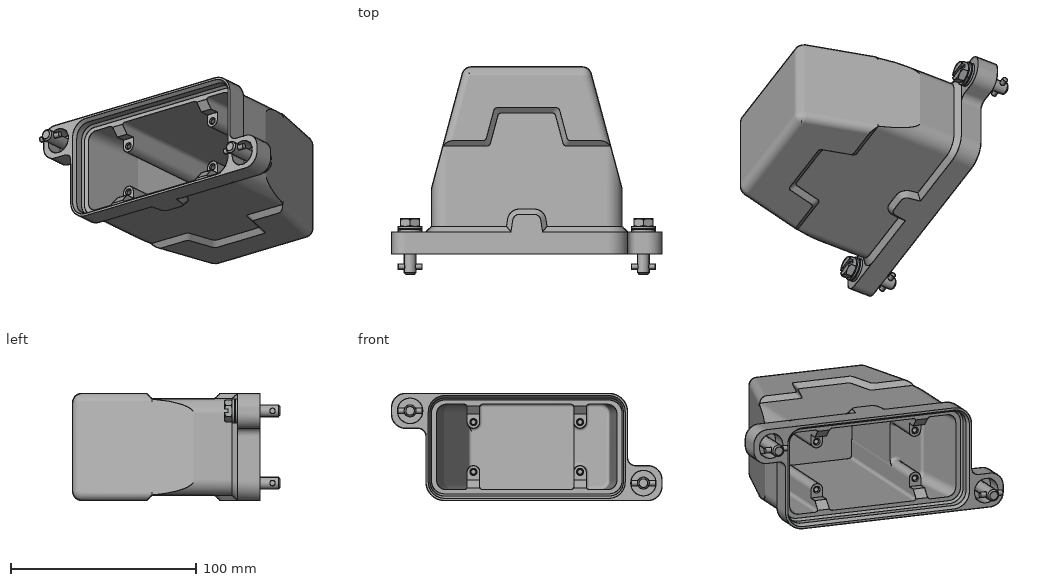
import cadquery as cq
import math

LENGTH = 146.0
DEPTH = 58.0
HALF_DEPTH = DEPTH / 2
FLANGE_HEIGHT = 12.1
TOP_Y = 101.2

FLANGE_HALF_X = 54.5
FLANGE_CORNER_R = 10.2
EAR_WIDTH = 19.0
EAR_CORNER_R = 7.7
EAR_ROOT_R = 4.1

STEP = 2.85
BODY_HALF_X = 51.4
BODY_HALF_Z = HALF_DEPTH - STEP
BODY_CORNER_R = 8.3
SKIRT_HEIGHT = 2.9
SLANT_ANGLE = math.radians(15)
SLANT = math.tan(SLANT_ANGLE)
SLANT_START_Y = 35.6
CAP_TOP_EDGE_R = 5.3
CAP_SIDE_EDGE_R = 4.4
CAP_FLOOR_Y = 58.4
NOTCH_FLOOR_Y = 76.2
NOTCH_HALF_X = 15.2
NOTCH_CORNER_R = 2.9

TAB_HALF_X = 11.4
TAB_SHOULDER_HALF_X = 9.5
TAB_END_Y = 24.4
TAB_CORNER_R = 6.4

MOUTH_HALF_X = 53.1
MOUTH_HALF_Z = 27.7
MOUTH_CORNER_R = 8.9
THROAT_HALF_X = 52.1
THROAT_HALF_Z = 26.4
THROAT_CORNER_R = 7.6
THROAT_START_Y = 2.3
THROAT_END_Y = 6.5
LEDGE_HALF_X = 51.4
LEDGE_HALF_Z = 25.3
LEDGE_CORNER_R = 6.9
LEDGE_Y = 8.2

CAVITY_HALF_X = 48.6
CAVITY_HALF_Z = 23.0
CAVITY_EDGE_R = 5.1
CAVITY_KNEE_X = 44.5
CAVITY_KNEE_Y = 46.7
CAVITY_FLOOR_Y = 97.8
FLOOR_EDGE_R = 1.8
FILL_X = 25.5
FILL_Y = 44.5

BOSS_X = 28.8
BOSS_Z = 13.5
BOSS_R = 3.4
BOSS_ROOT_R = 1.8
BOSS_FACE_Y = 17.7
BOSS_SHOULDER_Z = 17.74
BOSS_SHOULDER_Y = 12.3
BOSS_FOOT_Z = 22.2
BOSS_HOLE_R = 1.3
BOSS_HOLE_DEPTH = 11.7
BOSS_COUNTERSINK = 0.6

SCREW_X = 62.9
SCREW_Z = HALF_DEPTH - EAR_WIDTH / 2
SHANK_R = 3.2
SHANK_TIP_Y = -10.8
TIP_CHAMFER = 0.9
CROSS_PIN_R = 1.5
CROSS_PIN_HALF_LENGTH = 6.4
CROSS_PIN_Y = -6.7
BORE_R = 6.9
BORE_DEPTH = 10.2
WASHER_R = 6.5
WASHER_THICKNESS = 1.2
WASHER_GAP = 0.6
WASHER_NECK_R = 5.1
HEX_FLATS = 10.4
HEX_HEIGHT = 4.2
HEX_TOP_CHAMFER = 0.9
HEX_BOTTOM_CHAMFER = 0.5
SLOT_WIDTH = 2.0
SLOT_DEPTH = 1.9


def rounded_rect(y, half_x, half_z, corner_r):
    """Closed wire of a rounded rectangle in the plane at height y."""
    sketch = cq.Sketch().rect(2 * half_x, 2 * half_z).vertices().fillet(corner_r)
    plane = cq.Plane(origin=(0, y, 0), xDir=(1, 0, 0), normal=(0, -1, 0))
    return cq.Workplane(plane).placeSketch(sketch)._getFaces()[0].outerWire()


def tapered_block(lower, upper):
    """Solid between two rounded rectangles, each given as (y, half_x, half_z, corner_r)."""
    return cq.Workplane(cq.Solid.makeLoft([rounded_rect(*lower), rounded_rect(*upper)], True))


def slant_x(y):
    """Half width of the hood between its slanted sides."""
    return BODY_HALF_X - (y - SLANT_START_Y) * SLANT


def make_flange():
    ear_x = LENGTH / 2
    ear_z = HALF_DEPTH - EAR_WIDTH
    half = [(-FLANGE_HALF_X, -HALF_DEPTH), (ear_x, -HALF_DEPTH), (ear_x, -ear_z), (FLANGE_HALF_X, -ear_z)]
    outline = half + [(-x, -z) for x, z in half]
    flange = cq.Workplane("XZ").polyline(outline).close().extrude(-FLANGE_HEIGHT)

    def round_corner(solid, corner, radius):
        for sign in (1, -1):
            at = (sign * corner[0], FLANGE_HEIGHT / 2, sign * corner[1])
            solid = solid.edges(cq.NearestToPointSelector(at)).fillet(radius)
        return solid

    for corner, radius in zip(half, (FLANGE_CORNER_R, EAR_CORNER_R, EAR_CORNER_R, EAR_ROOT_R)):
        flange = round_corner(flange, corner, radius)
    return flange


def make_lower_hood():
    section = (BODY_HALF_X, BODY_HALF_Z, BODY_CORNER_R)
    skirt_top = FLANGE_HEIGHT + SKIRT_HEIGHT
    skirt = tapered_block(
        (FLANGE_HEIGHT, FLANGE_HALF_X, HALF_DEPTH, FLANGE_CORNER_R), (skirt_top, *section)
    )
    block = tapered_block((skirt_top, *section), (CAP_FLOOR_Y, *section))
    sides = (
        cq.Workplane("XY")
        .polyline([
            (-BODY_HALF_X, 0), (BODY_HALF_X, 0), (BODY_HALF_X, SLANT_START_Y), (slant_x(TOP_Y), TOP_Y),
            (-slant_x(TOP_Y), TOP_Y), (-BODY_HALF_X, SLANT_START_Y),
        ])
        .close().extrude(HALF_DEPTH, both=True)
    )
    return skirt.union(block.intersect(sides))


def step_outline(z, spread):
    """Outline of the stepped recess at height z, grown outward by the spread."""
    foot_y = CAP_FLOOR_Y + spread
    notch_y = NOTCH_FLOOR_Y + spread
    notch_x = NOTCH_HALF_X + spread / math.cos(SLANT_ANGLE) - spread * SLANT
    foot_x = notch_x + (notch_y - foot_y) * SLANT
    side_x = BODY_HALF_X + spread
    right_half = [(side_x, 0), (side_x, foot_y), (foot_x, foot_y), (notch_x, notch_y)]
    left_half = [(-x, y) for x, y in reversed(right_half)]
    return cq.Wire.makePolygon([cq.Vector(x, y, z) for x, y in right_half + left_half], close=True)


def make_step_cutter():
    """Cutter for the stepped recess in the front of the cap, with walls that slope at 45 degrees."""
    spread = 2 * STEP
    floor = step_outline(BODY_HALF_Z, 0)
    rim = step_outline(BODY_HALF_Z + spread, spread)
    cutter = cq.Workplane(cq.Solid.makeLoft([floor, rim], True))
    notch_corners = cq.selectors.BoxSelector((-BODY_HALF_X / 2, CAP_FLOOR_Y, 0), (BODY_HALF_X / 2, TOP_Y, DEPTH))
    return cutter.edges("not #Z").edges(notch_corners).fillet(NOTCH_CORNER_R)


def make_cap():
    outline = [
        (-slant_x(CAP_FLOOR_Y), CAP_FLOOR_Y), (slant_x(CAP_FLOOR_Y), CAP_FLOOR_Y),
        (slant_x(TOP_Y), TOP_Y), (-slant_x(TOP_Y), TOP_Y),
    ]
    cap = cq.Workplane("XY").polyline(outline).close().extrude(HALF_DEPTH, both=True)
    cap = cap.faces(">Y").edges().fillet(CAP_TOP_EDGE_R)
    below_top = cq.selectors.BoxSelector((-LENGTH, CAP_FLOOR_Y + 1.5, -DEPTH), (LENGTH, TOP_Y - CAP_TOP_EDGE_R, DEPTH))
    cap = cap.edges(below_top).edges("not(|X or |Z)").fillet(CAP_SIDE_EDGE_R)
    cutter = make_step_cutter()
    return cap.cut(cutter).cut(cutter.mirror("XY"))


def make_tabs():
    """Raised tabs with sloped edges at the foot of the hood, front and back."""
    outline = [
        (-TAB_HALF_X, 0), (TAB_HALF_X, 0), (TAB_HALF_X, FLANGE_HEIGHT),
        (TAB_SHOULDER_HALF_X, TAB_END_Y), (-TAB_SHOULDER_HALF_X, TAB_END_Y), (-TAB_HALF_X, FLANGE_HEIGHT),
    ]
    sketch = cq.Sketch().polygon(outline + outline[:1]).vertices(">Y").fillet(TAB_CORNER_R)
    tab = cq.Workplane("XY", origin=(0, 0, BODY_HALF_Z)).placeSketch(sketch).extrude(STEP, taper=45)
    above_flange = cq.Workplane("XY").box(LENGTH, TOP_Y, DEPTH).translate((0, FLANGE_HEIGHT + TOP_Y / 2, 0))
    tab = tab.intersect(above_flange)
    return tab.union(tab.mirror("XY"))


def make_mouth():
    mouth = (MOUTH_HALF_X, MOUTH_HALF_Z, MOUTH_CORNER_R)
    throat = (THROAT_HALF_X, THROAT_HALF_Z, THROAT_CORNER_R)
    ledge = (LEDGE_HALF_X, LEDGE_HALF_Z, LEDGE_CORNER_R)
    entry = tapered_block((0, *mouth), (THROAT_START_Y, *throat))
    straight = tapered_block((THROAT_START_Y, *throat), (THROAT_END_Y, *throat))
    seat = tapered_block((THROAT_END_Y, *throat), (LEDGE_Y, *ledge))
    return entry.union(straight).union(seat)


def make_cavity():
    """Space behind the ledge, with drafted then slanted sides and a shallow part at +X."""
    floor_x = CAVITY_KNEE_X - (CAVITY_FLOOR_Y - CAVITY_KNEE_Y) * SLANT
    fill_x = CAVITY_HALF_X - (CAVITY_HALF_X - CAVITY_KNEE_X) * (FILL_Y - LEDGE_Y) / (CAVITY_KNEE_Y - LEDGE_Y)
    outline = [
        (-CAVITY_HALF_X, LEDGE_Y), (CAVITY_HALF_X, LEDGE_Y), (fill_x, FILL_Y), (FILL_X, FILL_Y),
        (FILL_X, CAVITY_FLOOR_Y), (-floor_x, CAVITY_FLOOR_Y), (-CAVITY_KNEE_X, CAVITY_KNEE_Y),
    ]
    cavity = cq.Workplane("XY").polyline(outline).close().extrude(CAVITY_HALF_Z, both=True)
    side_walls = cq.selectors.BoxSelector(
        (-LENGTH, LEDGE_Y, -DEPTH), (-floor_x, CAVITY_FLOOR_Y - 1.5, DEPTH)
    ) + cq.selectors.BoxSelector((fill_x, LEDGE_Y, -DEPTH), (LENGTH, FILL_Y - 1.5, DEPTH))
    cavity = cavity.edges("not(|X or |Z)").edges(side_walls).fillet(CAVITY_EDGE_R)
    return cavity


def make_boss():
    """Screw boss on the back wall at +X, with a flared root and a stepped, sloping front end."""
    root_z = CAVITY_HALF_Z - BOSS_ROOT_R
    flare_x = BOSS_R + BOSS_ROOT_R
    bend = BOSS_ROOT_R * (1 - math.sqrt(0.5))
    behind_wall_z = CAVITY_HALF_Z + 0.7
    length = CAVITY_FLOOR_Y - LEDGE_Y
    boss = (
        cq.Workplane("XZ", origin=(BOSS_X, LEDGE_Y, 0))
        .moveTo(-BOSS_R, BOSS_Z)
        .threePointArc((0, BOSS_Z - BOSS_R), (BOSS_R, BOSS_Z))
        .lineTo(BOSS_R, root_z)
        .threePointArc((BOSS_R + bend, CAVITY_HALF_Z - bend), (flare_x, CAVITY_HALF_Z))
        .lineTo(flare_x, behind_wall_z)
        .lineTo(-flare_x, behind_wall_z)
        .lineTo(-flare_x, CAVITY_HALF_Z)
        .threePointArc((-BOSS_R - bend, CAVITY_HALF_Z - bend), (-BOSS_R, root_z))
        .close()
        .extrude(-length)
    )
    front_gap = (
        cq.Workplane("YZ")
        .polyline([
            (LEDGE_Y, 0), (BOSS_FACE_Y, 0), (BOSS_FACE_Y, BOSS_SHOULDER_Z),
            (BOSS_SHOULDER_Y, BOSS_SHOULDER_Z), (LEDGE_Y, BOSS_FOOT_Z),
        ])
        .close().extrude(LENGTH / 2)
    )
    return boss.cut(front_gap)


def make_boss_hole():
    mouth_r = BOSS_HOLE_R + BOSS_COUNTERSINK
    hole = (
        cq.Workplane("XY")
        .polyline([
            (0, 0), (mouth_r, 0), (BOSS_HOLE_R, BOSS_COUNTERSINK),
            (BOSS_HOLE_R, BOSS_HOLE_DEPTH), (0, BOSS_HOLE_DEPTH),
        ])
        .close().revolve(360, (0, 0), (0, 1))
    )
    return hole.translate((BOSS_X, BOSS_FACE_Y, BOSS_Z))


def four_corners(tool):
    """The tool with its mirror images across the YZ and XY planes."""
    pair = tool.union(tool.mirror("YZ"))
    return pair.union(pair.mirror("XY"))


def make_ear_bore():
    """Through hole for a screw shank, opened up from the mating face."""
    clearance = cq.Workplane("XZ").circle(SHANK_R).extrude(-FLANGE_HEIGHT)
    return clearance.union(cq.Workplane("XZ").circle(BORE_R).extrude(-BORE_DEPTH))


def at_ears(body):
    """Copies of the body on the two ear axes."""
    return [body.translate((sign * SCREW_X, 0, -sign * SCREW_Z)) for sign in (-1, 1)]


def make_housing():
    housing = make_flange().union(make_lower_hood()).union(make_cap()).union(make_tabs())
    inside = make_cavity().cut(four_corners(make_boss()))
    shallow_floor = cq.selectors.BoxSelector((FILL_X + 0.1, FILL_Y - 0.1, -DEPTH), (LENGTH, FILL_Y + 0.1, DEPTH))
    inside = inside.edges(shallow_floor).fillet(FLOOR_EDGE_R)
    deep_floor = cq.selectors.BoxSelector((-LENGTH, CAVITY_FLOOR_Y - 0.1, BOSS_R - BOSS_Z), (FILL_X - 0.1, TOP_Y, DEPTH))
    inside = inside.edges(deep_floor).fillet(FLOOR_EDGE_R)
    housing = housing.cut(make_mouth()).cut(inside).cut(four_corners(make_boss_hole()))
    for bore in at_ears(make_ear_bore()):
        housing = housing.cut(bore)
    return housing


def make_disc(radius, bottom_y, height):
    return cq.Workplane("XZ", origin=(0, bottom_y, 0)).circle(radius).extrude(-height)


def make_hex_head(bottom_y):
    corner_r = HEX_FLATS / math.sqrt(3)
    flat_r = HEX_FLATS / 2
    head = (
        cq.Workplane("XZ", origin=(0, bottom_y, 0))
        .polygon(6, 2 * corner_r).extrude(-HEX_HEIGHT)
        .rotate((0, 0, 0), (0, 1, 0), 30)
    )
    trim = (
        cq.Workplane("XY")
        .polyline([
            (0, 0), (flat_r, 0), (corner_r, HEX_BOTTOM_CHAMFER), (corner_r, HEX_HEIGHT - HEX_TOP_CHAMFER),
            (flat_r, HEX_HEIGHT), (0, HEX_HEIGHT),
        ])
        .close().revolve(360, (0, 0), (0, 1)).translate((0, bottom_y, 0))
    )
    top_y = bottom_y + HEX_HEIGHT
    slot = cq.Workplane("XY").box(2 * HEX_FLATS, 2 * SLOT_DEPTH, SLOT_WIDTH).translate((0, top_y, 0))
    return head.intersect(trim).cut(slot)


def make_screw():
    """Slotted hex screw with two washer rims under its head and a cross pin near its tip."""
    upper_washer_y = FLANGE_HEIGHT + WASHER_THICKNESS + WASHER_GAP
    head_y = upper_washer_y + WASHER_THICKNESS
    shank = make_disc(SHANK_R, SHANK_TIP_Y, head_y - SHANK_TIP_Y).faces("<Y").chamfer(TIP_CHAMFER)
    cross_pin = (
        cq.Workplane("YZ", origin=(-CROSS_PIN_HALF_LENGTH, CROSS_PIN_Y, 0))
        .circle(CROSS_PIN_R).extrude(2 * CROSS_PIN_HALF_LENGTH)
    )
    screw = shank.union(cross_pin)
    for washer_y in (FLANGE_HEIGHT, upper_washer_y):
        screw = screw.union(make_disc(WASHER_R, washer_y, WASHER_THICKNESS))
    screw = screw.union(make_disc(WASHER_NECK_R, FLANGE_HEIGHT, head_y - FLANGE_HEIGHT))
    return screw.union(make_hex_head(head_y))


housing = make_housing()
screws = at_ears(make_screw())
result = cq.Compound.makeCompound([housing.val(), *[screw.val() for screw in screws]])